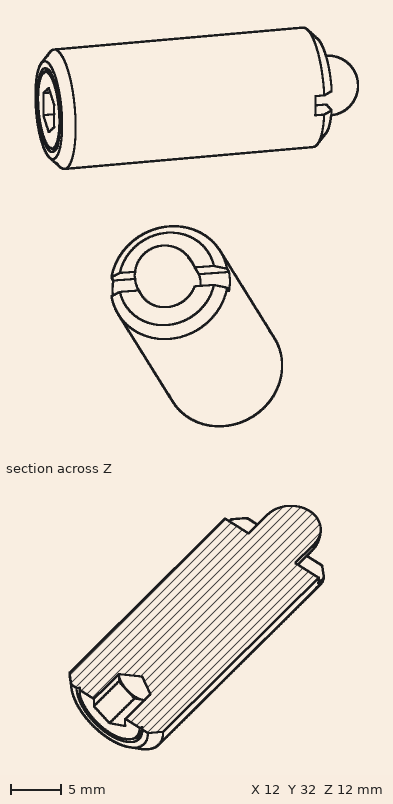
import cadquery as cq
import math

total_length = 32.0
body_diameter = 12.0
body_chamfer = 1.1
pin_diameter = 6.0
nose_protrusion = 4.0
slot_width = 2.0
slot_depth = 2.0

plug_diameter = 7.97
plug_chamfer = 0.13
bore_countersink = 0.22

hex_across_flats = 4.0
hex_depth = 4.0
drill_point_angle = 118.0

body_radius = body_diameter / 2
pin_radius = pin_diameter / 2
plug_radius = plug_diameter / 2
back_y = -total_length / 2
nose_tip_y = total_length / 2
body_front_y = nose_tip_y - nose_protrusion
dome_base_y = nose_tip_y - pin_radius
slot_floor_y = body_front_y - slot_depth
hex_radius = hex_across_flats / 2
hex_floor_y = back_y + hex_depth
drill_tip_depth = hex_radius / math.tan(math.radians(drill_point_angle / 2))


def revolve_about_y(profile):
    return profile.close().revolve(360, (0, 0, 0), (0, 1, 0))


def make_body():
    """Cylinder with a chamfer at both ends."""
    cylinder = (
        cq.Workplane("XZ", origin=(0, body_front_y, 0))
        .circle(body_radius)
        .extrude(body_front_y - back_y)
    )
    return cylinder.faces("<Y or >Y").edges().chamfer(body_chamfer)


def make_slot():
    """Screwdriver slot across the front end of the body."""
    return cq.Workplane("XY").box(
        body_diameter, slot_depth, slot_width
    ).translate((0, slot_floor_y + slot_depth / 2, 0))


def make_pin():
    """Round pin with a hemispherical nose, standing on the slot floor."""
    return revolve_about_y(
        cq.Workplane("XY")
        .moveTo(0, slot_floor_y)
        .lineTo(pin_radius, slot_floor_y)
        .lineTo(pin_radius, dome_base_y)
        .radiusArc((0, nose_tip_y), -pin_radius)
    )


def make_plug_groove():
    """V groove where the chamfered plug meets the countersunk bore."""
    return revolve_about_y(
        cq.Workplane("XY")
        .moveTo(plug_radius - plug_chamfer, back_y)
        .lineTo(plug_radius, back_y + bore_countersink)
        .lineTo(plug_radius + bore_countersink, back_y)
    )


def make_hex_socket():
    """Hexagonal socket with two flats facing X, ending in a conical drill point."""
    corner_radius = hex_radius / math.cos(math.pi / 6)
    corners = []
    for index in range(6):
        angle = math.pi / 6 + index * math.pi / 3
        corners.append((corner_radius * math.cos(angle), corner_radius * math.sin(angle)))
    hexagon = (
        cq.Workplane("XZ", origin=(0, hex_floor_y, 0))
        .polyline(corners)
        .close()
        .extrude(hex_depth)
    )
    drill_point = revolve_about_y(
        cq.Workplane("XY")
        .moveTo(0, hex_floor_y)
        .lineTo(hex_radius, hex_floor_y)
        .lineTo(0, hex_floor_y + drill_tip_depth)
    )
    return hexagon.union(drill_point)


result = (
    make_body()
    .cut(make_slot())
    .union(make_pin())
    .cut(make_plug_groove())
    .cut(make_hex_socket())
)